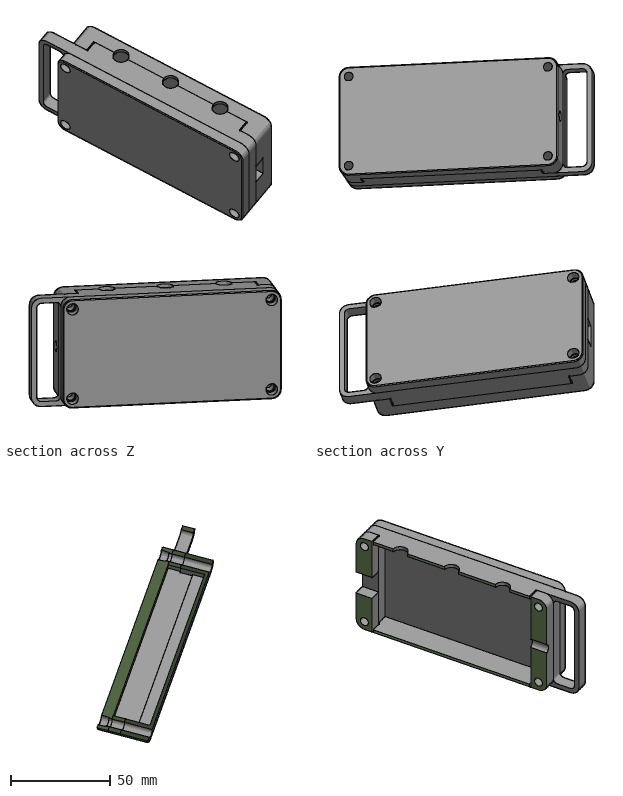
import cadquery as cq

total_length = 127.0
height = 56.5
case_length = 112.0
corner_radius = 5.0
edge_chamfer = 0.5

cover_thickness = 6.0
frame_thickness = 6.5
lip_depth = 6.5
case_thickness = 27.0
frame_front = cover_thickness
frame_back = frame_front + frame_thickness
lip_back = frame_back + lip_depth

cavity_length = 93.0
wall = 1.9
back_wall = 2.0
cavity_height = height - 2 * wall
cavity_back = case_thickness - back_wall

lip_clearance = 0.6
lip_length = cavity_length - 2 * lip_clearance

handle_length = total_length - case_length
handle_bar = 2.7
handle_corner_radius = 2.4

screw_inset = corner_radius
screw_diameter = 4.5
recess_mouth_diameter = 5.8
recess_depth = 4.2
recess_taper = 5.0

button_count = 3
button_spacing = 30.0
button_diameter = 8.1
cable_diameter = 5.3
cable_hole_y = 19.8
cable_hole_z = -0.8
port_height = 12.7

case_left = -case_length / 2
case_right = case_length / 2
end_wall = (case_length - cavity_length) / 2


def block(length, y_front, y_back, block_height, x_center=0.0, z_center=0.0):
    """A box given by its X length, Y range and Z height."""
    return cq.Workplane("XY").box(length, y_back - y_front, block_height).translate(
        (x_center, (y_front + y_back) / 2, z_center)
    )


def case_layer(y_front, y_back):
    """A slab of the case with its four corners rounded."""
    return block(case_length, y_front, y_back, height).edges("|Y").fillet(corner_radius)


def screw_positions():
    """The four screw points on the front face."""
    return (
        cq.Workplane("XZ")
        .rect(case_length - 2 * screw_inset, height - 2 * screw_inset, forConstruction=True)
        .vertices()
    )


def screw_holes():
    """Cylinders through the whole thickness of the case."""
    return screw_positions().circle(screw_diameter / 2).extrude(-case_thickness)


def screw_recesses():
    """Recesses for the screw heads, narrowing slightly towards their flat floors."""
    return (
        screw_positions()
        .circle(recess_mouth_diameter / 2)
        .extrude(-recess_depth, taper=recess_taper)
    )


def button_holes():
    """A row of cylinders down through the top wall only."""
    return (
        cq.Workplane("XY", origin=(0, lip_back, height / 2 - wall))
        .rarray(button_spacing, 1.3, button_count, 1)
        .circle(button_diameter / 2)
        .extrude(wall)
    )


def make_cover():
    """Front plate with a chamfered rim and a recess at each screw hole."""
    plate = case_layer(0, cover_thickness).faces("<Y").chamfer(edge_chamfer)
    return plate.cut(screw_holes()).cut(screw_recesses())


def make_frame():
    """Middle ring with a handle loop at its -X end and a lip along its top and bottom."""
    plate = (
        block(total_length, frame_front, frame_back, height, x_center=-handle_length / 2)
        .edges("|Y")
        .fillet(corner_radius)
    )
    handle_window = (
        block(
            handle_length - handle_bar,
            frame_front,
            frame_back,
            height - 2 * handle_bar,
            x_center=case_left - (handle_length - handle_bar) / 2,
        )
        .edges("|Y")
        .fillet(handle_corner_radius)
    )
    lips = block(lip_length, frame_back, lip_back, height)
    cavity = block(cavity_length, frame_front, lip_back, cavity_height)
    return (
        plate.union(lips)
        .cut(cavity)
        .cut(handle_window)
        .cut(screw_holes())
        .cut(button_holes())
    )


def make_housing():
    """Back tray with notched top and bottom walls and openings in its two ends."""
    tray = case_layer(frame_back, case_thickness).faces(">Y").chamfer(edge_chamfer)
    cavity = block(cavity_length, frame_back, cavity_back, cavity_height)
    lip_notches = block(cavity_length, frame_back, lip_back, height)
    port = block(
        end_wall,
        frame_back,
        lip_back,
        port_height,
        x_center=case_right - end_wall / 2,
        z_center=cable_hole_z,
    )
    cable_hole = (
        cq.Workplane("YZ", origin=(case_left, cable_hole_y, cable_hole_z))
        .circle(cable_diameter / 2)
        .extrude(end_wall)
    )
    return (
        tray.cut(cavity)
        .cut(lip_notches)
        .cut(port)
        .cut(cable_hole)
        .cut(screw_holes())
        .cut(button_holes())
    )


cover = make_cover()
frame = make_frame()
housing = make_housing()

result = cq.Compound.makeCompound([cover.val(), frame.val(), housing.val()])